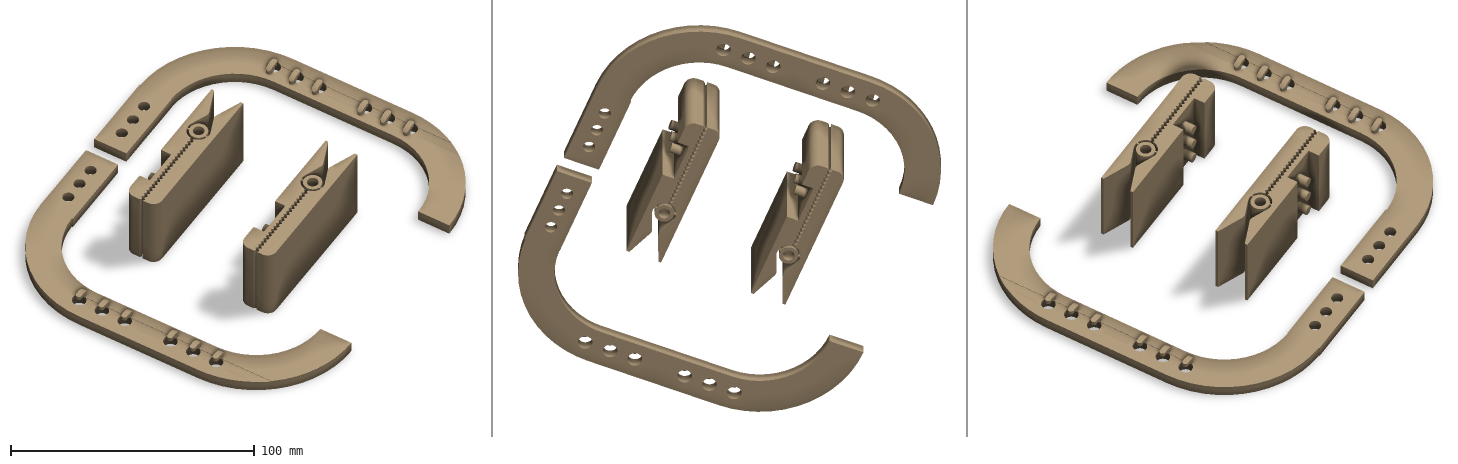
import cadquery as cq
import math

overall_length = 168.72
frame_thickness = 5.0
bar_width = 15.0
frame_left = -74.5
frame_right = 74.84
split_gap = 7.0
block_length = 35.0
block_width = 15.5
block_overlap = 0.7

outer_y = overall_length / 2
inner_y = outer_y - bar_width
block_end_y = split_gap / 2
bend_y = block_end_y + block_length
outer_radius = outer_y - bend_y
inner_radius = outer_radius - bar_width
bend_left_x = frame_left + outer_radius
bend_right_x = frame_right - outer_radius
block_top_y = bend_y + block_overlap

back_block_left = -74.84
front_block_left = frame_left
block_hole_x = -66.92
block_hole_diameter = 5.0

pin_count = 3
pin_pitch = block_length / (pin_count + 1)

hook_pitch = 11.0
hook_center_x = -0.1
hook_places = (-3, -2, -1, 1, 2, 3)
hook_xs = [hook_center_x + place * hook_pitch for place in hook_places]
hook_hole_diameter = 6.0
hook_hole_y = 76.5
hook_width = 2.5
hook_height = 3.3
hook_arm_thickness = 1.8
hook_tip_y = 78.0
hook_bend_y = 75.4
hook_post_outer_y = 74.2
hook_post_inner_y = 71.7
hook_shoulder_y = 72.9
hook_shoulder_height = 2.6
hook_nose_height = 1.7

groove_width = 4.5
groove_depth = 0.2
groove_center_y = 76.2

clip_height = 35.0
clip_width = 15.25
clip_back_y = 28.9
clip_front_y = -39.1
clip_spacing = 55.0
first_clip_x = -26.2
clip_xs = (first_clip_x, first_clip_x + clip_spacing)
clip_corner_radius = 4.1

ring_y = 6.2
ring_outer_diameter = 8.0
ring_inner_diameter = 4.8
ring_clearance_diameter = 10.0
bridge_thickness = 0.6
bridge_y = 5.1

arm_tip_width = 1.2
throat_half_width = 1.3
throat_y = 16.3
throat_radius = 3.0

tooth_pitch = 2.0
tooth_depth = 1.0
tooth_gap = 1.4
tooth_channel_x = 0.3

notch_length = 16.8
notch_depth = 5.0
notch_y = -19.4
pin_diameter = 4.1


def box(x_min, x_max, y_min, y_max, z_min, z_max):
    return cq.Workplane("XY").box(
        x_max - x_min, y_max - y_min, z_max - z_min, centered=False
    ).translate((x_min, y_min, z_min))


def bar_with_bends():
    """Half of the rounded frame on the +Y side: a straight bar with a quarter bend at each end."""
    diagonal = math.sqrt(0.5)

    def mid(center_x, radius, side):
        return (center_x + side * radius * diagonal, bend_y + radius * diagonal)

    return (
        cq.Workplane("XY")
        .moveTo(frame_left, bend_y)
        .threePointArc(mid(bend_left_x, outer_radius, -1), (bend_left_x, outer_y))
        .lineTo(bend_right_x, outer_y)
        .threePointArc(mid(bend_right_x, outer_radius, 1), (frame_right, bend_y))
        .lineTo(frame_right - bar_width, bend_y)
        .threePointArc(mid(bend_right_x, inner_radius, 1), (bend_right_x, inner_y))
        .lineTo(bend_left_x, inner_y)
        .threePointArc(mid(bend_left_x, inner_radius, -1), (frame_left + bar_width, bend_y))
        .close()
        .extrude(frame_thickness)
    )


def hook(x):
    """A post whose arm reaches outward over the hook hole; both ends are round from above."""
    base = frame_thickness - groove_depth
    top = frame_thickness + hook_height
    side = (
        cq.Workplane("YZ")
        .moveTo(hook_post_inner_y, base)
        .lineTo(hook_post_inner_y, frame_thickness + hook_nose_height)
        .threePointArc((hook_shoulder_y, frame_thickness + hook_shoulder_height), (hook_bend_y, top))
        .lineTo(hook_tip_y, top)
        .lineTo(hook_tip_y, top - hook_arm_thickness)
        .lineTo(hook_bend_y, top - hook_arm_thickness)
        .lineTo(hook_post_outer_y, frame_thickness)
        .lineTo(hook_post_outer_y, base)
        .close()
        .extrude(hook_width / 2, both=True)
    )
    height = top - base
    rounded_plan = (
        cq.Workplane("XY", origin=(0, (hook_post_inner_y + hook_tip_y) / 2, base))
        .slot2D(hook_tip_y - hook_post_inner_y, hook_width, 90)
        .extrude(height)
    )
    return side.intersect(rounded_plan).translate((x, 0, 0))


def frame_half(block_left):
    block = box(block_left, block_left + block_width, block_end_y, block_top_y, 0, frame_thickness)
    frame = bar_with_bends().union(block)

    block_holes = [(block_hole_x, block_end_y + pin_pitch * (i + 1)) for i in range(pin_count)]
    hook_holes = [(x, hook_hole_y) for x in hook_xs]
    for points, diameter in ((block_holes, block_hole_diameter), (hook_holes, hook_hole_diameter)):
        holes = cq.Workplane("XY").pushPoints(points).circle(diameter / 2).extrude(frame_thickness)
        frame = frame.cut(holes)

    groove = box(
        hook_xs[0],
        frame_right,
        groove_center_y - groove_width / 2,
        groove_center_y + groove_width / 2,
        frame_thickness - groove_depth,
        frame_thickness,
    )
    frame = frame.cut(groove)
    for x in hook_xs:
        frame = frame.union(hook(x))
    return frame


def upright_cylinder(diameter):
    return cq.Workplane("XY").center(0, ring_y).circle(diameter / 2).extrude(clip_height)


def mouth():
    """Opening between the clip arms: narrows to a rounded throat, then widens to the ring."""
    tip_x = clip_width / 2 - arm_tip_width
    radius = ring_clearance_diameter / 2
    rise = throat_y - ring_y
    distance = math.hypot(throat_half_width, rise)
    angle = math.atan2(rise, throat_half_width) - math.acos(radius / distance)
    tangent_x = radius * math.cos(angle)
    tangent_y = ring_y + radius * math.sin(angle)
    right = [(tip_x, clip_back_y), (throat_half_width, throat_y), (tangent_x, tangent_y)]
    left = [(-x, y) for x, y in reversed(right)]
    opening = cq.Workplane("XY").polyline(right + left).close().extrude(clip_height)
    throat_edges = cq.selectors.BoxSelector(
        (-tip_x, throat_y - tooth_pitch / 2, 0), (tip_x, throat_y + tooth_pitch / 2, clip_height)
    )
    return opening.edges("|Z").edges(throat_edges).fillet(throat_radius)


def tooth_channel():
    """Zigzag gap between the jaws, from the ring clearance out through the front end."""
    start_y = ring_y - ring_outer_diameter / 2 - tooth_depth / 2
    step = tooth_pitch / 2
    step_count = math.ceil((start_y - clip_front_y) / step)
    center_line = [
        (tooth_channel_x + (-1) ** i * tooth_depth / 2, start_y - i * step)
        for i in range(step_count + 1)
    ]
    left = [(x - tooth_gap / 2, y) for x, y in center_line]
    right = [(x + tooth_gap / 2, y) for x, y in reversed(center_line)]
    return cq.Workplane("XY").polyline(left + right).close().extrude(clip_height)


def clip(center_x):
    """Two toothed jaws joined by thin bridges to a spring ring, with pins in a side notch."""
    half_width = clip_width / 2
    body = box(-half_width, half_width, clip_front_y, clip_back_y, 0, clip_height)
    body = body.edges("|Z and <Y").fillet(clip_corner_radius)
    body = body.cut(upright_cylinder(ring_clearance_diameter)).cut(mouth()).cut(tooth_channel())

    bridge = box(
        -ring_clearance_diameter / 2,
        ring_clearance_diameter / 2,
        bridge_y - bridge_thickness / 2,
        bridge_y + bridge_thickness / 2,
        0,
        clip_height,
    )
    ring = upright_cylinder(ring_outer_diameter).union(bridge)
    body = body.union(ring.cut(upright_cylinder(ring_inner_diameter)))

    notch = box(
        -half_width,
        -half_width + notch_depth,
        notch_y - notch_length / 2,
        notch_y + notch_length / 2,
        0,
        clip_height,
    )
    body = body.cut(notch)
    pin_points = [(notch_y, pin_pitch * (i + 1)) for i in range(pin_count)]
    pins = (
        cq.Workplane("YZ", origin=(-half_width, 0, 0))
        .pushPoints(pin_points)
        .circle(pin_diameter / 2)
        .extrude(notch_depth)
    )
    return body.union(pins).translate((center_x, 0, 0))


back_frame = frame_half(back_block_left)
front_frame = frame_half(front_block_left).mirror("XZ")
clips = [clip(x) for x in clip_xs]

result = cq.Compound.makeCompound(
    [body.solids().val() for body in (back_frame, front_frame, *clips)]
)